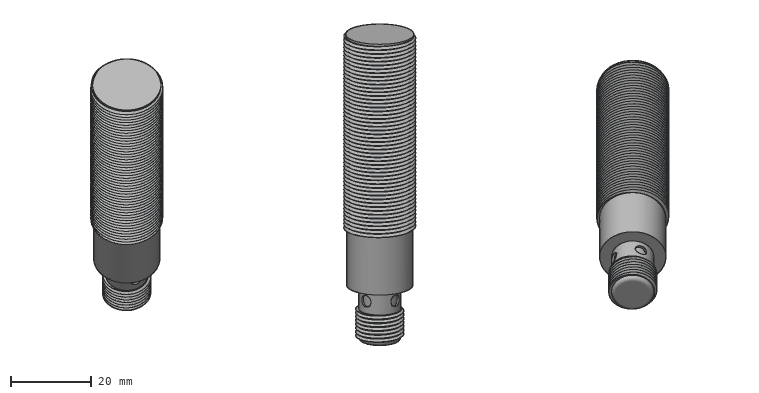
import cadquery as cq
import math

total_height = 79.9
sleeve_diameter = 16.5
sleeve_bottom = 14.4

thread_pitch = 1.0
spare_turns_below = 1.1
spare_turns = 2

barrel_thread_diameter = 18.0
barrel_thread_root_diameter = 16.1
barrel_thread_bottom = 29.4
cap_diameter = 17.0
cap_thickness = 0.55

plug_diameter = 10.55
plug_edge_radius = 0.95
plug_thread_diameter = 12.1
plug_thread_root_diameter = 10.7
plug_thread_bottom = 1.2
plug_thread_top = 8.2

window_diameter = 3.0
window_height = 11.4
window_floor_diameter = 9.4
window_count = 4


def cylinder(diameter, bottom, top):
    return cq.Workplane("XY").workplane(offset=bottom).circle(diameter / 2).extrude(top - bottom)


def helix_turn(radius, start_height):
    """Edge making one right-hand turn that begins above the +X axis."""
    turn = cq.Wire.makeHelix(thread_pitch, thread_pitch, radius)
    return turn.translate(cq.Vector(0, 0, start_height)).Edges()[0]


def helical_ramp(radius, start_height):
    """One turn of a helicoid between the axis and a helix of the given radius."""
    axis = cq.Edge.makeLine(cq.Vector(0, 0, start_height), cq.Vector(0, 0, start_height + thread_pitch))
    return cq.Face.makeRuledSurface(axis, helix_turn(radius, start_height))


def ramp_step(root_radius, crest_radius, start_height):
    """Flat radial wall joining the two ends of a one-turn ramp."""
    end_height = start_height + thread_pitch
    corners = [
        cq.Vector(0, 0, start_height),
        cq.Vector(root_radius, 0, start_height),
        cq.Vector(crest_radius, 0, start_height + thread_pitch / 2),
        cq.Vector(root_radius, 0, end_height),
        cq.Vector(0, 0, end_height),
    ]
    return cq.Face.makeFromWires(cq.Wire.makePolygon(corners, close=True))


def threaded_rod(root_diameter, crest_diameter, bottom, top):
    """Right-hand V-threaded rod, made overlong with helical ends and trimmed flat at bottom and top."""
    root_radius = root_diameter / 2
    crest_radius = crest_diameter / 2
    turn_count = math.ceil((top - bottom) / thread_pitch) + spare_turns
    start = bottom - spare_turns_below * thread_pitch
    end = start + turn_count * thread_pitch
    faces = [
        helical_ramp(root_radius, start),
        ramp_step(root_radius, crest_radius, start),
        helical_ramp(root_radius, end),
        ramp_step(root_radius, crest_radius, end),
    ]
    for turn in range(turn_count):
        turn_start = start + turn * thread_pitch
        root = helix_turn(root_radius, turn_start)
        crest = helix_turn(crest_radius, turn_start + thread_pitch / 2)
        next_root = helix_turn(root_radius, turn_start + thread_pitch)
        faces.append(cq.Face.makeRuledSurface(root, crest))
        faces.append(cq.Face.makeRuledSurface(crest, next_root))
    overlong_rod = cq.Workplane(cq.Solid.makeSolid(cq.Shell.makeShell(faces)))
    return overlong_rod.intersect(cylinder(2 * crest_diameter, bottom, top), clean=False)


def body():
    """Smooth sleeve, threaded barrel and thin cap."""
    cap_bottom = total_height - cap_thickness
    sleeve = cylinder(sleeve_diameter, sleeve_bottom, barrel_thread_bottom)
    barrel = threaded_rod(
        barrel_thread_root_diameter, barrel_thread_diameter, barrel_thread_bottom, cap_bottom
    )
    cap = cylinder(cap_diameter, cap_bottom, total_height)
    return barrel.union(sleeve, clean=False).union(cap, clean=False)


def plug():
    """Rounded tip, threaded length and smooth neck."""
    tip = cylinder(plug_diameter, 0, plug_thread_bottom).faces("<Z").edges().fillet(plug_edge_radius)
    thread = threaded_rod(
        plug_thread_root_diameter, plug_thread_diameter, plug_thread_bottom, plug_thread_top
    )
    neck = cylinder(plug_diameter, plug_thread_top, sleeve_bottom)
    return thread.union(tip, clean=False).union(neck, clean=False)


def window_cutter(angle):
    """Shallow round recess with a floor concentric with the plug."""
    drill = cq.Workplane("XZ").center(0, window_height).circle(window_diameter / 2).extrude(plug_diameter)
    floor = cylinder(window_floor_diameter, 0, sleeve_bottom)
    return drill.cut(floor).rotate((0, 0, 0), (0, 0, 1), angle)


result = body().union(plug(), clean=False)
for index in range(window_count):
    result = result.cut(window_cutter(index * 360 / window_count), clean=False)